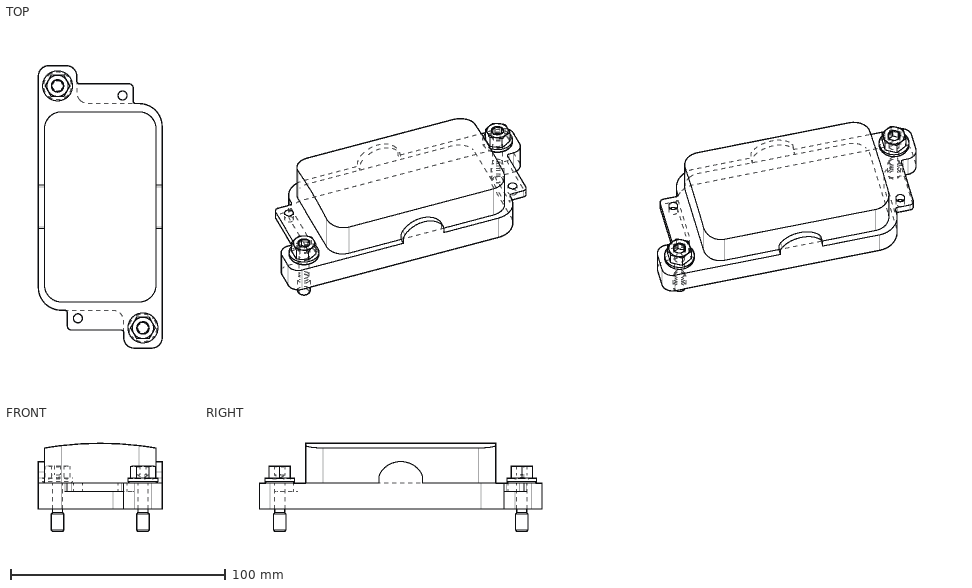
import cadquery as cq
import math


base_width = 58.0
base_length = 132.0
base_height = 12.1
rim_length = 96.6
rim_corner_radius = 10.8
lug_width = 18.1
lug_radius = 5.0

tab_thickness = 4.0
tab_side_x = 15.5
tab_end_y = 57.5
tab_outer_radius = 2.1
tab_inner_radius = 1.0
tab_hole_diameter = 4.1
tab_hole_x = 10.4
tab_hole_y = 52.0

cover_width = 52.1
cover_length = 88.8
cover_corner_radius = 8.0
cover_height = 18.6
crown_rise = 2.2

ear_width = 20.3
ear_height = 10.0
ear_arch_radius = 11.2
ear_shoulder_radius = 5.0

screw_x = 19.9
screw_y = 56.5
screw_places = [(-screw_x, screw_y), (screw_x, -screw_y)]
head_across_flats = 10.0
head_height = 7.9
head_chamfer_slope = math.radians(20)
head_face_diameter = 9.9
collar_diameter = 14.0
collar_foot_diameter = 13.0
collar_foot_height = 0.8
collar_edge_height = 2.2
collar_seat_height = 2.0
socket_across_flats = 5.0
socket_depth = 4.0
socket_rim_diameter = 5.8
socket_tip_half_angle = math.radians(60)
neck_diameter = 4.8
thread_diameter = 6.0
neck_overhang = 1.6
thread_overhang = 10.5
thread_lead_in = 0.8


def half_turned(corners):
    """Complete a half outline of (x, y, radius) corners with its copy turned 180 degrees."""
    return corners + [(-x, -y, radius) for x, y, radius in corners]


def rounded_outline(corners):
    """Closed outline through (x, y, radius) corners, each rounded by a tangent arc."""
    starts, middles, ends = [], [], []
    for index, (x, y, radius) in enumerate(corners):
        corner = cq.Vector(x, y)
        back = (cq.Vector(*corners[index - 1][:2]) - corner).normalized()
        ahead = (cq.Vector(*corners[(index + 1) % len(corners)][:2]) - corner).normalized()
        half_angle = back.getAngle(ahead) / 2
        tangent_length = radius / math.tan(half_angle)
        arc_gap = radius / math.sin(half_angle) - radius
        starts.append(corner + back * tangent_length)
        middles.append(corner + (back + ahead).normalized() * arc_gap)
        ends.append(corner + ahead * tangent_length)

    outline = cq.Workplane("XY").moveTo(*ends[-1].toTuple()[:2])
    for start, middle, end in zip(starts, middles, ends):
        outline = outline.lineTo(*start.toTuple()[:2])
        outline = outline.threePointArc(middle.toTuple()[:2], end.toTuple()[:2])
    return outline.close()


def make_ears():
    """Arched bars across the base; the cover fills the space between the two ears."""
    bar = (
        cq.Workplane("XY", origin=(0, 0, base_height))
        .box(base_width, ear_width, ear_height, centered=(True, True, False))
    )
    arch = (
        cq.Workplane("YZ", origin=(0, 0, base_height + ear_height - ear_arch_radius))
        .circle(ear_arch_radius)
        .extrude(base_width / 2, both=True)
    )
    arched_bar = bar.intersect(arch)
    shoulders = arched_bar.faces("<Y or >Y").edges(">Z")
    rounded_bar = shoulders.fillet(ear_shoulder_radius)
    cover_space = (
        cq.Workplane("XY", origin=(0, 0, base_height))
        .box(cover_width, cover_length, ear_height, centered=(True, True, False))
    )
    return rounded_bar.cut(cover_space)


def make_base():
    half_width = base_width / 2
    lug_side_x = half_width - lug_width
    lug_end_y = base_length / 2
    rim_end_y = rim_length / 2

    outer_corners = [
        (lug_side_x, -lug_end_y, lug_radius),
        (half_width, -lug_end_y, lug_radius),
        (half_width, rim_end_y, rim_corner_radius),
    ]
    lug_root = [(lug_side_x, -rim_end_y, lug_radius)]
    tab_corners = [
        (-tab_side_x, -rim_end_y, tab_inner_radius),
        (-tab_side_x, -tab_end_y, tab_outer_radius),
        (lug_side_x, -tab_end_y, tab_inner_radius),
    ]

    block = rounded_outline(half_turned(lug_root + outer_corners)).extrude(base_height)
    tabbed_plate = (
        rounded_outline(half_turned(tab_corners + outer_corners))
        .extrude(tab_thickness)
        .translate((0, 0, base_height - tab_thickness))
    )
    tab_holes = (
        cq.Workplane("XY")
        .pushPoints([(tab_hole_x, tab_hole_y), (-tab_hole_x, -tab_hole_y)])
        .circle(tab_hole_diameter / 2)
        .extrude(base_height)
    )
    screw_holes = (
        cq.Workplane("XY")
        .pushPoints(screw_places)
        .circle(neck_diameter / 2)
        .extrude(base_height)
    )
    return block.union(tabbed_plate).union(make_ears()).cut(tab_holes).cut(screw_holes)


def make_cover():
    """Rounded block on the base, its top crowned across the width."""
    half_width = cover_width / 2
    side_height = cover_height - crown_rise
    crowned_bar = (
        cq.Workplane("XZ", origin=(0, 0, base_height))
        .moveTo(-half_width, 0)
        .lineTo(half_width, 0)
        .lineTo(half_width, side_height)
        .threePointArc((0, cover_height), (-half_width, side_height))
        .close()
        .extrude(cover_length / 2, both=True)
    )
    return crowned_bar.edges("|Z").fillet(cover_corner_radius)


def hexagon_corner_radius(across_flats):
    return across_flats / 2 / math.cos(math.pi / 6)


def hexagon(across_flats, height):
    """Hexagonal prism standing on Z = 0, with corners on the X axis."""
    across_corners = 2 * hexagon_corner_radius(across_flats)
    return cq.Workplane("XY").polygon(6, across_corners).extrude(height)


def turned(profile):
    """Solid of revolution about Z from (radius, height) points."""
    return cq.Workplane("XZ").polyline(profile).close().revolve(360, (0, 0), (0, 1))


def make_socket():
    """Hexagon socket with a countersunk rim and a conical bottom, open at the head top."""
    corner_radius = hexagon_corner_radius(socket_across_flats)
    tip_depth = corner_radius / math.tan(socket_tip_half_angle)
    floor = head_height - socket_depth
    prism = hexagon(socket_across_flats, head_height)
    drill = turned([
        (0, floor - tip_depth),
        (corner_radius, floor),
        (corner_radius, head_height),
        (0, head_height),
    ])
    rim_radius = socket_rim_diameter / 2
    countersink = turned([
        (0, head_height - rim_radius),
        (rim_radius, head_height),
        (0, head_height),
    ])
    return prism.intersect(drill).union(countersink)


def make_screw():
    """Screw with a flanged hexagon head; Z = 0 is where it seats on the base."""
    head_radius = hexagon_corner_radius(head_across_flats)
    face_radius = head_face_diameter / 2
    chamfer_drop = (head_radius - face_radius) * math.tan(head_chamfer_slope)
    head_envelope = turned([
        (0, 0),
        (head_radius, 0),
        (head_radius, head_height - chamfer_drop),
        (face_radius, head_height),
        (0, head_height),
    ])
    head = hexagon(head_across_flats, head_height).intersect(head_envelope)

    neck_radius = neck_diameter / 2
    thread_radius = thread_diameter / 2
    neck_end = -base_height - neck_overhang
    tip = -base_height - thread_overhang
    collar_and_shank = turned([
        (0, tip),
        (neck_radius, tip),
        (thread_radius, tip + thread_lead_in),
        (thread_radius, neck_end - thread_lead_in),
        (neck_radius, neck_end),
        (neck_radius, 0),
        (collar_foot_diameter / 2, 0),
        (collar_diameter / 2, collar_foot_height),
        (collar_diameter / 2, collar_edge_height),
        (head_across_flats / 2, collar_seat_height),
        (0, collar_seat_height),
    ])
    return head.union(collar_and_shank).cut(make_socket())


base = make_base()
cover = make_cover()
screws = []
for x, y in screw_places:
    screw = make_screw().translate((x, y, base_height))
    screws.append(screw.val())

result = cq.Compound.makeCompound([base.val(), cover.val(), *screws])